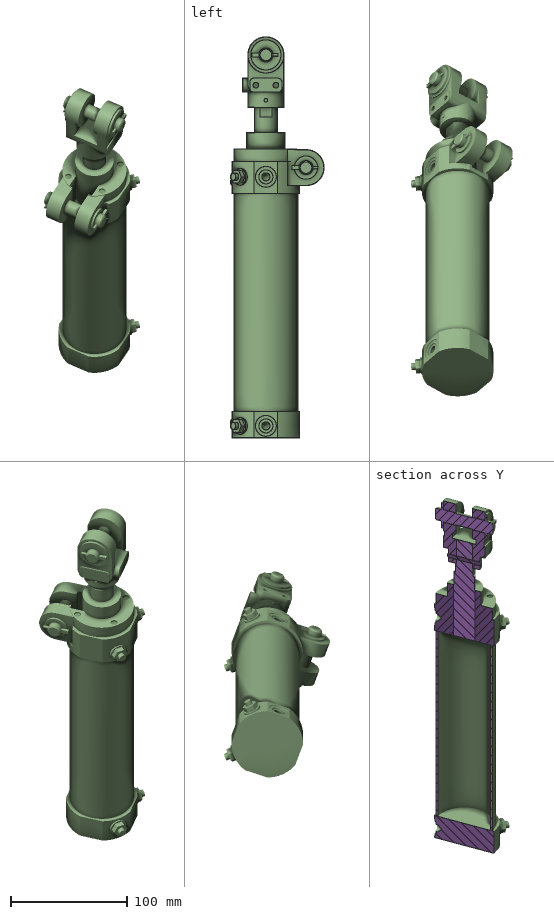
import cadquery as cq
import math


total_height = 344.5

tube_dia = 55.0
bore_dia = 50.0
cap_dia = 61.3
cap_flats = 58.0
base_height = 22.7
head_bottom_z = 210.0
cap_shoulder_z = 237.5
head_top_z = 248.5
neck_dia = 33.0
neck_top_z = 262.0

lug_dia = 31.0
lug_pin_y = -34.5
lug_pin_z = 232.2
lug_relief_y = -18.5
lug_root_radius = 2.5
lug_bottom_z = lug_pin_z - lug_dia / 2
slot_half_width = 11.0
wide_slot_reach = 25.0
slot_floor_z = 214.5

fork_gap = 15.0
fork_width = 40.5

screw_dia = 6.0
screw_recess_depth = 1.7
screw_offset = 16.5

port_face_dia = 18.0
port_face_depth = 0.7
port_dia = 12.0
port_depth = 1.5
port_core_dia = 7.0
port_core_depth = 2.0
head_port_z = 224.3
base_port_z = 10.5

valve_pad_dia = 14.5
valve_pad_reach = 31.7
valve_nut_flats = 11.0
valve_nut_reach = 36.2
valve_stem_dia = 6.2
valve_stem_reach = 40.0
valve_root = 26.0
right_head_valve_z = 219.8
right_base_valve_z = 13.5

rod_dia = 20.0
rod_thread_dia = 16.0
rod_flats = 17.2
rod_flats_bottom_z = 275.5

hub_dia = 31.0
hub_bottom_z = 284.0
clevis_bottom_z = 297.0
clevis_floor_z = 309.0
clevis_depth = 31.0
arm_width = 38.5
arm_gap = 22.0
clevis_edge_radius = 7.0
side_pad_length = 27.5
side_pad_radius = 3.5
side_hole_dia = 4.8
side_hole_depth = 3.5
side_hole_spacing = 17.2
rear_pad_width = 29.0
rear_pad_y = 20.0
clevis_pin_z = total_height - clevis_depth / 2

cross_pin_dia = 3.0
cross_pin_length = 33.0
cross_pin_z = 290.0

pin_dia = 12.0
pin_length = 55.5
pin_chamfer = 1.0
washer_thickness = 1.7
clevis_washer_dia = 26.0
lug_washer_dia = 20.0
cotter_dia = 2.3
cotter_x = 23.8
cotter_tail = 10.5
cotter_head = 12.0
cotter_eye_length = 6.5
cotter_eye_height = 3.5


def rod_x(dia, x_start, x_end, y, z):
    """Cylinder along X."""
    return cq.Workplane("YZ", origin=(x_start, y, z)).circle(dia / 2).extrude(x_end - x_start)


def rod_z(dia, z_start, z_end):
    """Cylinder on the Z axis."""
    return cq.Workplane("XY", origin=(0, 0, z_start)).circle(dia / 2).extrude(z_end - z_start)


def block(x_range, y_range, z_range):
    """Box given by its limits along each axis."""
    limits = (x_range, y_range, z_range)
    sizes = [high - low for low, high in limits]
    low_corner = tuple(low for low, high in limits)
    return cq.Workplane("XY").box(*sizes, centered=False).translate(low_corner)


def end_cap(z_start, z_end):
    """Round cap trimmed by four flats."""
    height = z_end - z_start
    square = cq.Workplane("XY", origin=(0, 0, z_start)).rect(cap_flats, cap_flats).extrude(height)
    return rod_z(cap_dia, z_start, z_end).intersect(square)


def valve(side, z):
    """Needle valve on a rear corner, pointing outward at 45 degrees; side is -1 or +1 along X."""
    outward = cq.Vector(side / math.sqrt(2), 1 / math.sqrt(2), 0)
    sideways = cq.Vector(-outward.y, outward.x, 0)
    root = outward * valve_root + cq.Vector(0, 0, z)
    plane = cq.Plane(origin=root, xDir=sideways, normal=outward)
    nut_corner_dia = valve_nut_flats / math.cos(math.pi / 6)
    pad = cq.Workplane(plane).circle(valve_pad_dia / 2).extrude(valve_pad_reach - valve_root)
    nut = cq.Workplane(plane).polygon(6, nut_corner_dia).extrude(valve_nut_reach - valve_root)
    stem = cq.Workplane(plane).circle(valve_stem_dia / 2).extrude(valve_stem_reach - valve_root)
    return pad.union(nut).union(stem)


def port(z):
    """Cutter for a stepped port in the -X flat of a cap, ending in a cone."""
    x_face = -cap_flats / 2
    bore_end = x_face + port_depth
    core_end = bore_end + port_core_depth
    core_radius = port_core_dia / 2
    spot_face = rod_x(port_face_dia, x_face, x_face + port_face_depth, 0, z)
    bore = rod_x(port_dia, x_face, bore_end, 0, z)
    core = rod_x(port_core_dia, bore_end, core_end, 0, z)
    tip = cq.Solid.makeCone(core_radius, 0, core_radius, pnt=(core_end, 0, z), dir=(1, 0, 0))
    return spot_face.union(bore).union(core).union(cq.Workplane(tip))


def make_tube():
    bore = rod_z(bore_dia, base_height, head_bottom_z)
    return rod_z(tube_dia, base_height, head_bottom_z).cut(bore)


def make_base():
    base = end_cap(0, base_height)
    base = base.union(valve(-1, base_port_z)).union(valve(1, right_base_valve_z))
    return base.cut(port(base_port_z))


def lugs():
    """Block with a rounded front end, reaching from the axis to the mounting pin."""
    half_width = fork_width / 2
    top_z = lug_pin_z + lug_dia / 2
    arm = block((-half_width, half_width), (lug_pin_y, 0), (lug_bottom_z, top_z))
    return arm.union(rod_x(lug_dia, -half_width, half_width, lug_pin_y, lug_pin_z))


def lug_relief():
    """Cutter that faces the front of the cap flat beside the lugs, with a rounded root at each lug."""
    height = cap_shoulder_z - lug_bottom_z
    face = block((-cap_dia, cap_dia), (-cap_dia, lug_relief_y), (lug_bottom_z, cap_shoulder_z))
    root = lug_root_radius
    for side in (-1, 1):
        lug_side = side * fork_width / 2
        fillet = (
            cq.Workplane("XY", origin=(lug_side, lug_relief_y, lug_bottom_z))
            .lineTo(side * root, 0)
            .radiusArc((0, -root), side * -root)
            .close()
            .extrude(height)
        )
        face = face.cut(fillet)
    return face


def lug_slot():
    """Cutter for the gap between the lugs; it is wider near the neck and leaves the neck standing."""
    narrow = block((-fork_gap / 2, fork_gap / 2), (-cap_dia, 0), (slot_floor_z, head_top_z))
    wide = block((-slot_half_width, slot_half_width), (-wide_slot_reach, 0), (slot_floor_z, head_top_z))
    return narrow.union(wide).cut(rod_z(neck_dia, slot_floor_z, head_top_z))


def head_screws():
    """Cutter for four round screw recesses in the top of the head."""
    corners = [(sx * screw_offset, sy * screw_offset) for sx in (-1, 1) for sy in (-1, 1)]
    top = cq.Workplane("XY", origin=(0, 0, head_top_z)).pushPoints(corners)
    return top.circle(screw_dia / 2).extrude(-screw_recess_depth)


def make_head():
    head = end_cap(head_bottom_z, cap_shoulder_z).union(rod_z(tube_dia, cap_shoulder_z, head_top_z))
    head = head.cut(lug_relief()).union(lugs()).cut(lug_slot())
    head = head.union(rod_z(neck_dia, head_bottom_z, neck_top_z))
    head = head.union(valve(-1, head_port_z)).union(valve(1, right_head_valve_z))
    head = head.cut(port(head_port_z)).cut(head_screws())
    head = head.cut(rod_z(rod_dia, head_bottom_z, neck_top_z))
    half_width = fork_width / 2
    return head.cut(rod_x(pin_dia, -half_width, half_width, lug_pin_y, lug_pin_z))


def cross_pin_shape():
    half_length = cross_pin_length / 2
    return rod_x(cross_pin_dia, -half_length, half_length, 0, cross_pin_z)


def make_rod():
    rod = rod_z(rod_dia, head_bottom_z, hub_bottom_z)
    half_flats = rod_flats / 2
    for x_range in ((-rod_dia, -half_flats), (half_flats, rod_dia)):
        rod = rod.cut(block(x_range, (-rod_dia, rod_dia), (rod_flats_bottom_z, hub_bottom_z)))
    rod = rod.union(rod_z(rod_thread_dia, hub_bottom_z, clevis_floor_z))
    return rod.cut(cross_pin_shape())


def clevis_fork():
    """Two round-topped arms on a floor, with round bosses on both faces of each arm."""
    half_arm = arm_width / 2
    half_depth = clevis_depth / 2
    fork = block((-half_arm, half_arm), (-half_depth, half_depth), (clevis_bottom_z, clevis_pin_z))
    fork = fork.edges("|X and <Z").fillet(clevis_edge_radius)
    fork = fork.union(rod_x(clevis_depth, -half_arm, half_arm, 0, clevis_pin_z))
    half_gap = arm_gap / 2
    fork = fork.cut(block((-half_gap, half_gap), (-half_depth, half_depth), (clevis_floor_z, total_height)))
    for x_start in (-fork_width / 2, fork_gap / 2):
        x_end = x_start + (fork_width - fork_gap) / 2
        fork = fork.union(rod_x(clevis_depth, x_start, x_end, 0, clevis_pin_z))
    return fork


def clevis_pads():
    """Rounded pad across both sides, and a pad with round ends on the rear."""
    pad_height = clevis_floor_z - clevis_bottom_z
    pad_z = (clevis_floor_z + clevis_bottom_z) / 2
    side_pad = cq.Workplane("XY").box(fork_width, side_pad_length, pad_height)
    side_pad = side_pad.edges("|X").fillet(side_pad_radius).translate((0, 0, pad_z))
    rear_pad = cq.Workplane("XZ", origin=(0, 0, pad_z)).slot2D(rear_pad_width, pad_height)
    rear_pad = rear_pad.extrude(-rear_pad_y)
    return side_pad.union(rear_pad)


def make_clevis():
    clevis = rod_z(hub_dia, hub_bottom_z, clevis_floor_z).union(clevis_fork()).union(clevis_pads())
    half_width = fork_width / 2
    hole_z = (clevis_floor_z + clevis_bottom_z) / 2
    for y in (-side_hole_spacing / 2, side_hole_spacing / 2):
        clevis = clevis.cut(rod_x(side_hole_dia, -half_width, side_hole_depth - half_width, y, hole_z))
    clevis = clevis.cut(rod_z(rod_thread_dia, hub_bottom_z, clevis_floor_z))
    clevis = clevis.cut(cross_pin_shape())
    return clevis.cut(rod_x(pin_dia, -half_width, half_width, 0, clevis_pin_z))


def make_pin(washer_dia, y, z):
    """Clevis pin with a washer and a cotter at each end."""
    half_length = pin_length / 2
    pin = rod_x(pin_dia, -half_length, half_length, 0, 0).faces("<X or >X").chamfer(pin_chamfer)
    for washer_x in (-fork_width / 2 - washer_thickness, fork_width / 2):
        pin = pin.union(rod_x(washer_dia, washer_x, washer_x + washer_thickness, 0, 0))
    for x in (-cotter_x, cotter_x):
        shank = cq.Workplane("XZ", origin=(x, -cotter_tail, 0)).circle(cotter_dia / 2)
        eye = block(
            (x - cotter_dia / 2, x + cotter_dia / 2),
            (cotter_head - cotter_eye_length, cotter_head),
            (-cotter_eye_height / 2, cotter_eye_height / 2),
        )
        pin = pin.union(shank.extrude(-cotter_tail - cotter_head)).union(eye)
    return pin.translate((0, y, z))


tube = make_tube()
base = make_base()
head = make_head()
rod = make_rod()
clevis = make_clevis()
cross_pin = cross_pin_shape()
pins = [
    make_pin(clevis_washer_dia, 0, clevis_pin_z),
    make_pin(lug_washer_dia, lug_pin_y, lug_pin_z),
]

result = cq.Compound.makeCompound(
    [body.val() for body in (tube, base, head, rod, clevis, cross_pin, *pins)]
)